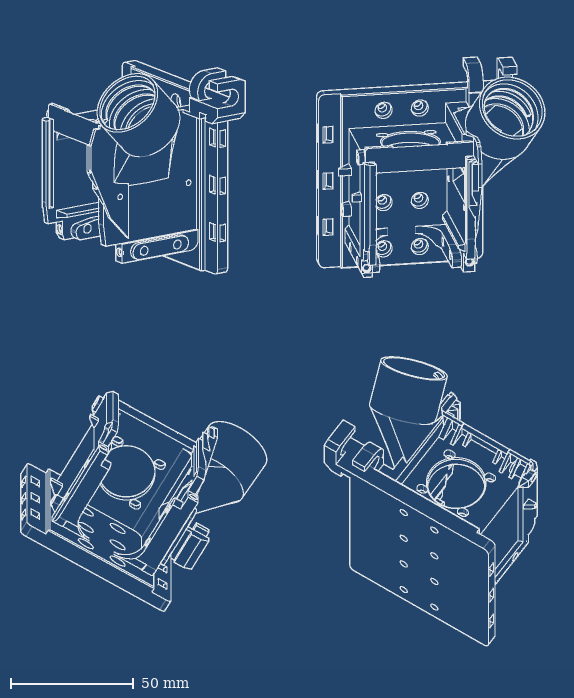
import cadquery as cq
import math

PLATE_W = 68.0
PLATE_H = 75.0
PLATE_T = 5.0
PLATE_CORNER_R = 2.5
PAD_W = 50.0
PAD_FRONT = -7.3
PAD_CHAMFER = 0.5
SCREW_X = 7.5
SCREW_PITCH = 20.0
SCREW_D = 3.5
SCREW_HEAD_D = 7.0
SCREW_HEAD_DEPTH = 3.0
TIE_SLOT_H = 7.0
TIE_SLOT_PITCH = 20.0

CAVITY_LEFT = -18.9
CAVITY_RIGHT = 18.7
CAVITY_TOP = 18.5
CAVITY_CORNER_R = 4.0
ROOF_TOP = 23.0
WALL_LEFT = -23.5
WALL_RIGHT = 22.15
WALL_BOTTOM = -20.3
WALL_FRONT = -53.5
WALL_FRONT_CHAMFER = 1.9
RIGHT_WALL_TOP = 31.5
RIGHT_WALL_TOP_LEFT = 18.2
TAPER_START = -44.9
RECESS_DEPTH = 1.6
RECESS_FRONT = -39.6
FLANGE_TOP = 23.4
TOE_TOP = -11.2
TOE_SETBACK = 1.2
GROOVE_BACK = -49.7
GROOVE_FRONT = -51.8
GROOVE_DEPTH = 2.6
GROOVE_BOTTOM = -13.8
BORE_Y = -27.2
BORE_D = 23.4
BORE_LEAD_IN = 0.5
BORE_SLOT_OFFSET = 9.95
BORE_SLOT_L = 4.7
BORE_SLOT_W = 3.5

VISOR_FRONT = -49.6
VISOR_BACK = -47.9
VISOR_TOP = 29.4
VISOR_LEFT = -22.7
VISOR_CORNER = 1.0
VISOR_BEVEL_HALF_W = 11.3
VISOR_BEVEL_DROP = 0.25
GUSSET_T = 1.45
TALL_GUSSETS_X = (-21.8, -16.9, -12.1, 11.8)
SHORT_GUSSETS_X = (-7.5, 7.3)
SHORT_GUSSET = 4.2
END_GUSSET_X = 17.0
END_GUSSET_T = 2.4

WING_T = 1.4
WING_RIGHT = WALL_RIGHT + WING_T
TEETH_TOP = 23.4

RAIL_FRONT = -45.1
RAIL_BOTTOM = -28.4
RAIL_BEVEL_TOP = -26.2
RAIL_HEEL_R = 4.0
RAIL_RIGHT = 23.4
RAIL_HOLE_Z = -24.2
RAIL_HOLES_Y = (-18.9, -35.4)
RAIL_HOLE_D = 3.7
RAIL_SCREW_X = 21.3
RAIL_SCREW_DEPTH = 8.0
INSERT_D = 3.5
INSERT_DEPTH = 1.0
PILOT_D = 2.5
ARM_T = 3.75
ARM_TOP = -21.1
ARM_FLARE_R = 9.2
ARM_HEEL_CHAMFER = 4.1
LEDGE_PROTRUSION = 1.9
LEDGE_TOP = -15.2
LEDGE_BOTTOM = -18.4
RAIL_PAD_T = 1.8
RAIL_PAD_L = 27.5
RAIL_PAD_H = 6.6

BOSS_OUTER = -25.2
BOSS_D = 5.0
BOSS_HOLE_DEPTH = 5.0
LOW_BOSS_Y = -11.2
LOW_BOSS_Z = -10.9
HIGH_BOSS_Y = -46.2
HIGH_BOSS_Z = 24.0
HIGH_BOSS_INNER = -15.1
SNAP_BOTTOM = 4.9
SNAP_H = 2.95
SNAP_OUTER = -27.2
SNAP_LAND = 1.0
BACK_SNAP_FRONT = -13.3
FRONT_SNAP_BACK = -40.2
RIGHT_PINHOLE_D = 2.3

LUG_LEFT = 26.7
LUG_RIGHT = 46.6
LUG_D = 14.0
LUG_BOTTOM = 30.2
HINGE_R = LUG_D / 2
HINGE_Z = 41.0
HINGE_D = 7.0
HOOK_T = 5.9
HOOK_BEVEL_L = 2.7
HOOK_BEVEL_H = 1.0
LUG_NOTCH_LEFT = 34.0
LUG_NOTCH_W = 4.3
LUG_NOTCH_H = 2.8
LUG_TIP_W = 3.8
LUG_TIP_H = 3.4

SOCKET_TILT = 10.0
SOCKET_PITCH = 45.0
SOCKET_D = 28.0
SOCKET_L = 19.2
SOCKET_RIM = (37.58, -52.41, 44.11)
SEAT_D = 25.5
SEAT_DEPTH = 17.6
THREAD_D = 22.0
THREAD_PITCH = 7.0
THREAD_TURNS = 1.625
THREAD_END_DEPTH = 13.4
THREAD_END_ANGLE = 15.0
THREAD_ROOT_W = 2.6
THREAD_CREST_W = 1.0
DUCT_D = 20.7
DUCT_START_X = 19.2
DUCT_BACK = -19.5
DUCT_FRONT = -49.3
DUCT_BOTTOM = 0.8
WINDOW_BACK = -21.5
WINDOW_FRONT = -47.8
WINDOW_BOTTOM = 2.6
WINDOW_TOP = 18.4

MARGIN = 1.0


def block(x0, x1, y0, y1, z0, z1):
    """Axis-aligned block between two opposite corners."""
    return cq.Workplane("XY").box(x1 - x0, y1 - y0, z1 - z0, centered=False).translate((x0, y0, z0))


def prism_x(points, x0, x1):
    """(y, z) polygon extruded along X."""
    return cq.Workplane("YZ").polyline(points).close().extrude(x1 - x0).translate((x0, 0, 0))


def prism_y(points, y0, y1):
    """(x, z) polygon extruded along Y."""
    return cq.Workplane("XZ").polyline(points).close().extrude(y1 - y0).translate((0, y1, 0))


def prism_z(points, z0, z1):
    """(x, y) polygon extruded along Z."""
    return cq.Workplane("XY").polyline(points).close().extrude(z1 - z0).translate((0, 0, z0))


def rod_x(y, z, diameter, x0, x1):
    """Round bar along X."""
    return cq.Workplane("YZ").center(y, z).circle(diameter / 2).extrude(x1 - x0).translate((x0, 0, 0))


def rod_y(x, z, diameter, y0, y1):
    """Round bar along Y."""
    return cq.Workplane("XZ").center(x, z).circle(diameter / 2).extrude(y1 - y0).translate((0, y1, 0))


def mirror_x(shape):
    return shape.mirror("YZ")


def make_plate():
    """Back plate with its raised centre pad."""
    half_w, half_h = PLATE_W / 2, PLATE_H / 2
    plate = block(-half_w, half_w, -PLATE_T, 0, -half_h, half_h).edges("|Y").fillet(PLATE_CORNER_R)
    pad = block(-PAD_W / 2, PAD_W / 2, PAD_FRONT, -PLATE_T, -half_h, half_h)
    return plate.union(pad.faces("<Y").chamfer(PAD_CHAMFER))


def cut_plate_holes(body):
    """Counterbored screw holes and the cable-tie channels through the plate edges."""
    for row in range(4):
        z = (row - 1.5) * SCREW_PITCH
        for x in (-SCREW_X, SCREW_X):
            body = body.cut(rod_y(x, z, SCREW_D, PAD_FRONT - MARGIN, MARGIN))
            body = body.cut(rod_y(x, z, SCREW_HEAD_D, PAD_FRONT, PAD_FRONT + SCREW_HEAD_DEPTH))
    edge = -PLATE_W / 2
    far_wall = edge + 6.0
    lip_bevel = 1.0
    lip_x = edge + 2.9
    floor_y, lip_y = -1.05, -3.75
    bend_y = -3.0
    outline = [
        (edge, floor_y),
        (far_wall - (floor_y - bend_y), floor_y),
        (far_wall, bend_y),
        (far_wall, -PLATE_T),
        (lip_x - lip_bevel, -PLATE_T),
        (lip_x, lip_y),
        (edge, lip_y),
    ]
    for row in (-1, 0, 1):
        z = row * TIE_SLOT_PITCH
        channel = prism_z(outline, z - TIE_SLOT_H / 2, z + TIE_SLOT_H / 2)
        body = body.cut(channel).cut(mirror_x(channel))
    return body


def make_lug():
    """Hinge lug: a base bar carrying two hooks that open in opposite directions."""
    base_top = PLATE_H / 2
    notch_right = LUG_NOTCH_LEFT + LUG_NOTCH_W
    base = prism_y(
        [
            (LUG_LEFT, base_top),
            (LUG_RIGHT, base_top),
            (LUG_RIGHT, LUG_BOTTOM + LUG_TIP_H),
            (LUG_RIGHT - LUG_TIP_W, LUG_BOTTOM),
            (notch_right, LUG_BOTTOM),
            (notch_right, LUG_BOTTOM + LUG_NOTCH_H),
            (LUG_NOTCH_LEFT, LUG_BOTTOM + LUG_NOTCH_H),
            (LUG_NOTCH_LEFT, LUG_BOTTOM),
            (LUG_LEFT, LUG_BOTTOM),
        ],
        -LUG_D,
        0,
    )
    hook_top = HINGE_Z + HINGE_R
    slot_bottom, slot_top = HINGE_Z - HINGE_D / 2, HINGE_Z + HINGE_D / 2
    hook_a = block(LUG_LEFT, LUG_LEFT + HOOK_T, -HINGE_R, 0, base_top, hook_top)
    round_front = rod_x(-HINGE_R, HINGE_Z, LUG_D, LUG_LEFT, LUG_LEFT + HOOK_T)
    hook_a = hook_a.union(round_front)
    hook_a = hook_a.cut(block(LUG_LEFT, LUG_LEFT + HOOK_T, -HINGE_R, 0, slot_bottom, slot_top))
    hook_b = block(LUG_RIGHT - HOOK_T, LUG_RIGHT, -LUG_D, 0, base_top, hook_top)
    bevel = [(-HOOK_BEVEL_L, hook_top), (0, hook_top), (0, hook_top - HOOK_BEVEL_H)]
    hook_b = hook_b.cut(prism_x(bevel, LUG_RIGHT - HOOK_T, LUG_RIGHT))
    hook_b = hook_b.cut(block(LUG_RIGHT - HOOK_T, LUG_RIGHT, -LUG_D, -HINGE_R, slot_bottom, slot_top))
    pin_hole = rod_x(-HINGE_R, HINGE_Z, HINGE_D, LUG_LEFT - MARGIN, LUG_RIGHT + MARGIN)
    bridge = block(RIGHT_WALL_TOP_LEFT, LUG_LEFT, -LUG_D, -PLATE_T, LUG_BOTTOM, RIGHT_WALL_TOP)
    web = block(RIGHT_WALL_TOP_LEFT, LUG_LEFT, PAD_FRONT, 0, LUG_BOTTOM, base_top)
    web = web.edges("<Y and >Z").chamfer(PAD_CHAMFER)
    return base.union(hook_a).union(hook_b).cut(pin_hole).union(bridge).union(web)


def wall_slab(x0, x1):
    """Side wall with a raised front flange and a toe that leans back."""
    outline = [
        (PAD_FRONT, ROOF_TOP),
        (VISOR_FRONT, ROOF_TOP),
        (VISOR_FRONT, FLANGE_TOP),
        (WALL_FRONT, FLANGE_TOP),
        (WALL_FRONT, TOE_TOP),
        (WALL_FRONT + TOE_SETBACK, WALL_BOTTOM),
        (PAD_FRONT, WALL_BOTTOM),
    ]
    return prism_x(outline, x0, x1)


def cut_flange_grooves(body):
    """Triangular grooves down the inner faces of both front flanges."""
    for wall_x, depth in ((CAVITY_LEFT, -GROOVE_DEPTH), (CAVITY_RIGHT, GROOVE_DEPTH)):
        profile = [(wall_x, GROOVE_BACK), (wall_x + depth, GROOVE_BACK), (wall_x, GROOVE_FRONT)]
        body = body.cut(prism_z(profile, GROOVE_BOTTOM, FLANGE_TOP))
    return body


def make_left_wall():
    """Left wall with the shallow bevelled recess for a side cover and the relieved toe."""
    side = wall_slab(WALL_LEFT, CAVITY_LEFT)
    corner = prism_z(
        [
            (WALL_LEFT, WALL_FRONT),
            (WALL_LEFT + WALL_FRONT_CHAMFER, WALL_FRONT),
            (WALL_LEFT, WALL_FRONT + WALL_FRONT_CHAMFER),
        ],
        WALL_BOTTOM,
        FLANGE_TOP,
    )
    floor_bottom = WALL_BOTTOM + RECESS_DEPTH
    recess = (
        cq.Workplane("YZ", origin=(WALL_LEFT + RECESS_DEPTH, 0, 0))
        .polyline([
            (PAD_FRONT, ROOF_TOP),
            (RECESS_FRONT, ROOF_TOP),
            (RECESS_FRONT, floor_bottom),
            (PAD_FRONT, floor_bottom),
        ])
        .close()
        .workplane(offset=-RECESS_DEPTH)
        .polyline([
            (PAD_FRONT, ROOF_TOP),
            (RECESS_FRONT - RECESS_DEPTH, ROOF_TOP),
            (RECESS_FRONT - RECESS_DEPTH, WALL_BOTTOM),
            (PAD_FRONT, WALL_BOTTOM),
        ])
        .close()
        .loft(ruled=True)
    )
    relief_r = 4.0
    relief_top = -14.2
    relief_back = -49.8
    relief = (
        cq.Workplane("YZ", origin=(WALL_LEFT, 0, 0))
        .moveTo(WALL_FRONT, relief_top)
        .lineTo(relief_back, relief_top)
        .lineTo(relief_back, WALL_BOTTOM + relief_r)
        .radiusArc((relief_back + relief_r, WALL_BOTTOM), -relief_r)
        .lineTo(WALL_FRONT, WALL_BOTTOM)
        .close()
        .extrude(WALL_FRONT_CHAMFER)
    )
    return side.cut(corner).cut(recess).cut(relief)


def make_right_wall():
    """Right wall; above the roof it is thicker and tapers out to the wing."""
    lower = wall_slab(CAVITY_RIGHT, WALL_RIGHT)
    upper = prism_z(
        [
            (RIGHT_WALL_TOP_LEFT, PAD_FRONT),
            (WALL_RIGHT, PAD_FRONT),
            (WALL_RIGHT, VISOR_FRONT),
            (RIGHT_WALL_TOP_LEFT, TAPER_START),
        ],
        CAVITY_TOP,
        RIGHT_WALL_TOP,
    )
    return lower.union(upper)


def make_wing():
    """Thin plate outside the right wall, with two vertical barbed teeth at its front."""
    wing_tip = -60.7
    wing_back = -42.0
    notch_y, notch_z = -56.1, 30.4
    brow_y = -58.4
    face_top, face_bottom = 23.7, 13.5
    heel_y, heel_z = -51.1, -8.2
    tail_z = -18.2
    outline = [
        (wing_back, RIGHT_WALL_TOP),
        (notch_y, RIGHT_WALL_TOP),
        (notch_y, notch_z),
        (brow_y, notch_z),
        (wing_tip, face_top),
        (wing_tip, face_bottom),
        (heel_y, heel_z),
        (wing_back, tail_z),
    ]
    wing = prism_x(outline, WALL_RIGHT, WING_RIGHT)
    envelope = prism_x(outline, CAVITY_RIGHT, WING_RIGHT)
    teeth = ((18.9, -53.6, -56.4, -56.7), (19.8, -56.8, -59.1, -60.0))
    for tip_x, root_y, tip_y, front_y in teeth:
        profile = [(WALL_RIGHT, root_y), (tip_x, tip_y), (tip_x, front_y), (WALL_RIGHT, front_y)]
        tooth = prism_z(profile, WALL_BOTTOM, TEETH_TOP)
        wing = wing.union(tooth.intersect(envelope))
    return wing


def make_roof():
    """Roof over the cavity, rounded where it meets the side walls."""
    roof = block(
        WALL_LEFT + RECESS_DEPTH, WALL_RIGHT, VISOR_BACK, PAD_FRONT, CAVITY_TOP - CAVITY_CORNER_R, ROOF_TOP
    )
    cavity = block(
        CAVITY_LEFT, CAVITY_RIGHT, VISOR_FRONT, PAD_FRONT, CAVITY_TOP - 2 * CAVITY_CORNER_R, CAVITY_TOP
    )
    return roof.cut(cavity.edges("|Y and >Z").fillet(CAVITY_CORNER_R))


def cut_roof_openings(body):
    """Round opening with a lead-in and four elongated screw holes."""
    through = ROOF_TOP - CAVITY_TOP
    bore = cq.Workplane("XY", origin=(0, BORE_Y, CAVITY_TOP)).circle(BORE_D / 2).extrude(through)
    lead_in = (
        cq.Workplane("XY", origin=(0, BORE_Y, ROOF_TOP - BORE_LEAD_IN))
        .circle(BORE_D / 2)
        .workplane(offset=BORE_LEAD_IN)
        .circle(BORE_D / 2 + BORE_LEAD_IN)
        .loft()
    )
    slots = (
        cq.Workplane("XY", origin=(0, BORE_Y, CAVITY_TOP))
        .rect(2 * BORE_SLOT_OFFSET, 2 * BORE_SLOT_OFFSET, forConstruction=True)
        .vertices()
        .slot2D(BORE_SLOT_L, BORE_SLOT_W)
        .extrude(through)
    )
    return body.cut(bore).cut(lead_in).cut(slots)


def make_visor():
    """Upright strip across the front of the roof, braced by 45 degree gussets."""
    visor = block(VISOR_LEFT, WALL_RIGHT, VISOR_FRONT, VISOR_BACK, CAVITY_TOP, VISOR_TOP)
    visor = visor.edges("|Y and <X and >Z").chamfer(VISOR_CORNER)
    sharp_edge = VISOR_TOP - VISOR_BEVEL_DROP
    bevel = prism_x(
        [
            (VISOR_FRONT, VISOR_TOP),
            (VISOR_FRONT, sharp_edge),
            (VISOR_BACK, sharp_edge - (VISOR_BACK - VISOR_FRONT)),
            (VISOR_BACK, VISOR_TOP),
        ],
        -VISOR_BEVEL_HALF_W,
        VISOR_BEVEL_HALF_W,
    )
    visor = visor.cut(bevel)
    tall = VISOR_TOP - ROOF_TOP
    gussets = [(x, GUSSET_T, tall) for x in TALL_GUSSETS_X]
    gussets += [(x, GUSSET_T, SHORT_GUSSET) for x in SHORT_GUSSETS_X]
    gussets.append((END_GUSSET_X, END_GUSSET_T, tall))
    for x, thickness, leg in gussets:
        profile = [(VISOR_BACK, ROOF_TOP), (VISOR_BACK + leg, ROOF_TOP), (VISOR_BACK, ROOF_TOP + leg)]
        visor = visor.union(prism_x(profile, x - thickness / 2, x + thickness / 2))
    return visor


def make_rails():
    """Two rails below the side walls; the left one has a bevelled lower edge."""
    bevel_w = 1.1
    left = prism_y(
        [
            (CAVITY_LEFT, WALL_BOTTOM),
            (WALL_LEFT, WALL_BOTTOM),
            (WALL_LEFT, RAIL_BEVEL_TOP),
            (WALL_LEFT + bevel_w, RAIL_BOTTOM),
            (CAVITY_LEFT, RAIL_BOTTOM),
        ],
        RAIL_FRONT,
        PAD_FRONT,
    )
    right = block(CAVITY_RIGHT, RAIL_RIGHT, RAIL_FRONT, PAD_FRONT, RAIL_BOTTOM, WALL_BOTTOM)
    bevel_back = RAIL_FRONT + 0.8
    front_bevel = [(RAIL_FRONT, RAIL_BEVEL_TOP), (RAIL_FRONT, RAIL_BOTTOM), (bevel_back, RAIL_BOTTOM)]
    left = left.cut(prism_x(front_bevel, WALL_LEFT, CAVITY_LEFT))
    pad = (
        cq.Workplane("YZ", origin=(RAIL_RIGHT, sum(RAIL_HOLES_Y) / 2, RAIL_HOLE_Z))
        .slot2D(RAIL_PAD_L, RAIL_PAD_H)
        .extrude(RAIL_PAD_T)
    )
    heel = (
        cq.Workplane("YZ", origin=(-PAD_W / 2, 0, 0))
        .moveTo(PAD_FRONT, RAIL_BOTTOM)
        .lineTo(PAD_FRONT - RAIL_HEEL_R, RAIL_BOTTOM)
        .radiusArc((PAD_FRONT, RAIL_BOTTOM + RAIL_HEEL_R), -RAIL_HEEL_R)
        .close()
        .extrude(PAD_W)
    )
    return left.union(right).cut(heel).union(pad)


def make_arm(wall_x):
    """Tapered arm along the inside of the right rail, flared out where it meets the pad."""
    inner = wall_x - ARM_T
    height = ARM_TOP - RAIL_BOTTOM
    taper_y, taper_end = -31.4, (-38.4, -22.3)
    nose_y, nose_top, nose_bottom = -41.0, -24.4, -25.2
    nose_r, chin_r = 2.8, 4.0
    chin_y = -39.1
    bar = (
        cq.Workplane("YZ", origin=(inner, 0, 0))
        .moveTo(PAD_FRONT, ARM_TOP)
        .lineTo(taper_y, ARM_TOP)
        .lineTo(*taper_end)
        .radiusArc((nose_y, nose_top), -nose_r)
        .lineTo(nose_y, nose_bottom)
        .radiusArc((chin_y, RAIL_BOTTOM), -chin_r)
        .lineTo(PAD_FRONT, RAIL_BOTTOM)
        .close()
        .extrude(ARM_T)
    )
    flare = (
        cq.Workplane("XY", origin=(0, 0, RAIL_BOTTOM))
        .moveTo(inner, PAD_FRONT)
        .lineTo(inner - ARM_FLARE_R, PAD_FRONT)
        .radiusArc((inner, PAD_FRONT - ARM_FLARE_R), ARM_FLARE_R)
        .close()
        .extrude(height)
    )
    heel = [
        (PAD_FRONT, RAIL_BOTTOM),
        (PAD_FRONT - ARM_HEEL_CHAMFER, RAIL_BOTTOM),
        (PAD_FRONT, RAIL_BOTTOM + ARM_HEEL_CHAMFER),
    ]
    return bar.union(flare).cut(prism_x(heel, inner - ARM_FLARE_R, wall_x))


def make_ledge():
    """Bevelled guide ledge on the inside of the right wall, pointed at the front."""
    tip_y, taper_y = -48.2, -44.2
    inner = CAVITY_RIGHT - LEDGE_PROTRUSION
    ledge = prism_y(
        [
            (CAVITY_RIGHT, LEDGE_TOP),
            (inner, LEDGE_TOP - LEDGE_PROTRUSION),
            (inner, LEDGE_BOTTOM),
            (CAVITY_RIGHT, LEDGE_BOTTOM),
        ],
        tip_y,
        PAD_FRONT,
    )
    tip = prism_z([(inner, taper_y), (inner, tip_y), (CAVITY_RIGHT, tip_y)], LEDGE_BOTTOM, LEDGE_TOP)
    return ledge.cut(tip)


def cut_rail_holes(body):
    """Cross holes through both rails and stepped screw holes in their front ends."""
    for y in RAIL_HOLES_Y:
        body = body.cut(rod_x(y, RAIL_HOLE_Z, RAIL_HOLE_D, -PLATE_W / 2, PLATE_W / 2))
    for x in (-RAIL_SCREW_X, RAIL_SCREW_X):
        body = body.cut(rod_y(x, RAIL_HOLE_Z, PILOT_D, RAIL_FRONT, RAIL_FRONT + RAIL_SCREW_DEPTH))
        body = body.cut(rod_y(x, RAIL_HOLE_Z, INSERT_D, RAIL_FRONT, RAIL_FRONT + INSERT_DEPTH))
    return body


def make_cover_fixings():
    """Two screw bosses and two snap hooks that hold a cover on the left wall."""
    half = BOSS_D / 2
    floor_x = WALL_LEFT + RECESS_DEPTH
    wall_x = CAVITY_LEFT
    depth = floor_x - BOSS_OUTER
    undercut = 2.2
    low = rod_x(LOW_BOSS_Y, LOW_BOSS_Z, BOSS_D, BOSS_OUTER, wall_x)
    low_neck = prism_z(
        [
            (wall_x, LOW_BOSS_Y),
            (BOSS_OUTER, LOW_BOSS_Y),
            (BOSS_OUTER, PAD_FRONT - undercut),
            (floor_x, PAD_FRONT),
            (wall_x, PAD_FRONT),
        ],
        LOW_BOSS_Z - half,
        LOW_BOSS_Z + half,
    )
    neck_l = 1.0
    high = rod_x(HIGH_BOSS_Y, HIGH_BOSS_Z, BOSS_D, BOSS_OUTER, HIGH_BOSS_INNER)
    neck_y = HIGH_BOSS_Y + half + neck_l
    high_neck = prism_z(
        [
            (floor_x, HIGH_BOSS_Y),
            (BOSS_OUTER, HIGH_BOSS_Y),
            (BOSS_OUTER, neck_y),
            (floor_x, neck_y + depth),
        ],
        HIGH_BOSS_Z - half,
        HIGH_BOSS_Z + half,
    )
    taper = [
        (HIGH_BOSS_Y, HIGH_BOSS_Z + half),
        (neck_y, HIGH_BOSS_Z + half),
        (neck_y + depth, ROOF_TOP),
        (neck_y, HIGH_BOSS_Z - half),
        (HIGH_BOSS_Y, HIGH_BOSS_Z - half),
    ]
    high_neck = high_neck.intersect(prism_x(taper, BOSS_OUTER, floor_x))
    fixings = low.union(low_neck).union(high).union(high_neck)
    for back, front in ((PAD_FRONT, BACK_SNAP_FRONT), (FRONT_SNAP_BACK, RAIL_FRONT)):
        hook = [(floor_x, back), (SNAP_OUTER, front + SNAP_LAND), (SNAP_OUTER, front), (floor_x, front)]
        fixings = fixings.union(prism_z(hook, SNAP_BOTTOM, SNAP_BOTTOM + SNAP_H))
    return fixings


def cut_cover_holes(body):
    """Stepped pilot holes in the bosses and matching pin holes in the right wall."""
    for y, z in ((LOW_BOSS_Y, LOW_BOSS_Z), (HIGH_BOSS_Y, HIGH_BOSS_Z)):
        body = body.cut(rod_x(y, z, INSERT_D, BOSS_OUTER, BOSS_OUTER + INSERT_DEPTH))
        body = body.cut(rod_x(y, z, PILOT_D, BOSS_OUTER, BOSS_OUTER + BOSS_HOLE_DEPTH))
        body = body.cut(rod_x(y, 0, RIGHT_PINHOLE_D, CAVITY_RIGHT, WING_RIGHT))
    return body


def socket_plane(depth):
    """Plane across the hose socket, `depth` below its rim, with its normal along the socket axis."""
    tilt, pitch = math.radians(SOCKET_TILT), math.radians(SOCKET_PITCH)
    axis = cq.Vector(
        math.sin(tilt), -math.cos(tilt) * math.sin(pitch), math.cos(tilt) * math.cos(pitch)
    )
    origin = cq.Vector(*SOCKET_RIM) - axis * depth
    across = cq.Vector(math.cos(tilt), math.sin(tilt) * math.sin(pitch), -math.sin(tilt) * math.cos(pitch))
    return cq.Plane(origin, across, axis)


def socket_disc(diameter, depth, length):
    """Round bar inside the socket, starting `depth` below the rim and going down."""
    return cq.Workplane(socket_plane(depth)).circle(diameter / 2).extrude(-length)


def duct_loft(wall_x, back, front, bottom, top, diameter):
    """Transition from an upright rectangle at the right wall to the round foot of the socket."""
    corners = [(back, top), (front, top), (front, bottom), (back, bottom)]
    rectangle = cq.Wire.makePolygon([cq.Vector(wall_x, y, z) for y, z in corners], close=True)
    plane = socket_plane(SOCKET_L)

    def foot(degrees):
        angle = math.radians(degrees)
        return plane.toWorldCoords((diameter / 2 * math.cos(angle), diameter / 2 * math.sin(angle)))

    quarters = [
        cq.Edge.makeThreePointArc(foot(start), foot(start + 45), foot(start + 90))
        for start in (90, 180, 270, 360)
    ]
    circle = cq.Wire.assembleEdges(quarters)
    return cq.Workplane(cq.Solid.makeLoft([rectangle, circle], True))


def make_socket():
    """Hose socket and the solid duct that joins it to the right wall."""
    duct = duct_loft(DUCT_START_X, DUCT_BACK, DUCT_FRONT, DUCT_BOTTOM, RIGHT_WALL_TOP, SOCKET_D)
    taper = [
        (RIGHT_WALL_TOP_LEFT, TAPER_START),
        (RIGHT_WALL_TOP_LEFT, VISOR_FRONT),
        (WALL_RIGHT, VISOR_FRONT),
    ]
    beyond_taper = prism_z(taper, ROOF_TOP, SOCKET_RIM[2])
    return duct.union(socket_disc(SOCKET_D, 0, SOCKET_L)).cut(beyond_taper)


def cut_socket_bore(body):
    """Hose seat, and the air passage from it to the window in the right wall."""
    passage = duct_loft(CAVITY_RIGHT, WINDOW_BACK, WINDOW_FRONT, WINDOW_BOTTOM, WINDOW_TOP, DUCT_D)
    body = body.cut(passage).cut(socket_disc(SEAT_D, 0, SEAT_DEPTH))
    return body.cut(socket_disc(DUCT_D, SEAT_DEPTH, SOCKET_L - SEAT_DEPTH))


def make_thread():
    """Coarse helical ridge inside the hose seat, rooted in its wall."""
    root_r = (SEAT_D + SOCKET_D) / 4
    crest_r = THREAD_D / 2
    half_root, half_crest = THREAD_ROOT_W / 2, THREAD_CREST_W / 2
    helix = cq.Wire.makeHelix(THREAD_PITCH, THREAD_PITCH * THREAD_TURNS, root_r)
    profile = [(root_r, -half_root), (crest_r, -half_crest), (crest_r, half_crest), (root_r, half_root)]
    ridge = cq.Workplane("XZ").polyline(profile).close().sweep(cq.Workplane(helix), isFrenet=True)
    ridge = ridge.rotate((0, 0, 0), (0, 0, 1), THREAD_END_ANGLE)
    return cq.Workplane(ridge.val().located(socket_plane(THREAD_END_DEPTH).location))


body = make_plate()
for feature in (
    make_lug(),
    make_left_wall(),
    make_right_wall(),
    make_roof(),
    make_visor(),
    make_wing(),
    make_rails(),
    make_arm(CAVITY_RIGHT),
    mirror_x(make_arm(-CAVITY_LEFT)),
    make_ledge(),
    mirror_x(make_ledge()).translate((CAVITY_RIGHT + CAVITY_LEFT, 0, 0)),
    make_cover_fixings(),
    make_socket(),
):
    body = body.union(feature)
for cut in (
    cut_flange_grooves,
    cut_plate_holes,
    cut_roof_openings,
    cut_rail_holes,
    cut_cover_holes,
    cut_socket_bore,
):
    body = cut(body)
result = body.union(make_thread())